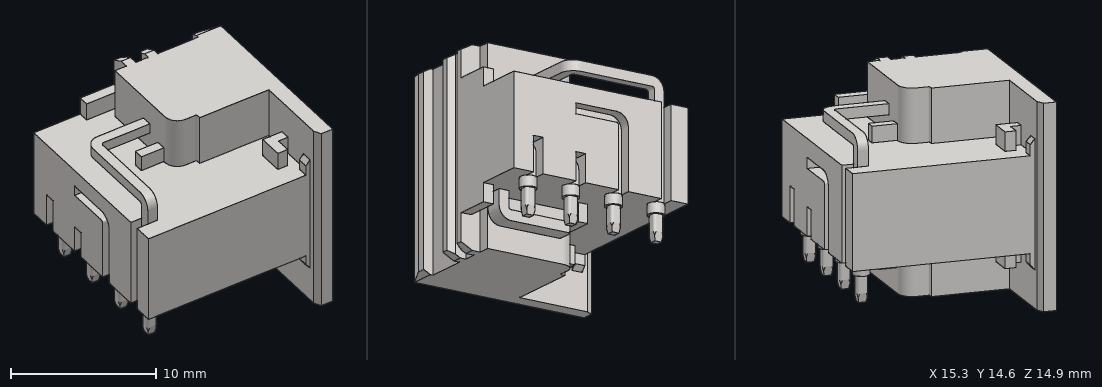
import cadquery as cq
import math


OVERALL_X = 15.3
OVERALL_Y = 14.55
SHELL_HALF_Z = 14.95 / 2

BLOCK_RIGHT = 14.32
BLOCK_HALF_Z = 3.5

SHELL_LEFT = 1.56
SHELL_FRONT = 5.68
SHELL_RIGHT = 9.18
NOSE_RIGHT = 8.8
NOSE_BACK = 7.62
NOSE_RADIUS = 1.04
NOSE_RELIEF_RADIUS = 0.1
PLATE_FRONT = 13.31
PLATE_BEVEL_X = 0.54
PLATE_BEVEL_Y = 0.29

RIB_WIDTH = 0.8
FRONT_RIB_Y = 6.61
REAR_RIB_Y = 8.42
FRONT_RIB_TIP = 0.0
REAR_RIB_TIP = 0.2
RIB_BEVEL_X = 0.5
RIB_BEVEL_Y = 0.29
RIB_END_BEVEL = (0.9, 0.47)
HOOK_FRONT = 12.53
HOOK_TIP = 0.8
HOOK_SLANT_FRONT = 13.2
HOOK_ROOT = 1.35
HOOK_END_BEVEL = (HOOK_ROOT - HOOK_TIP, 0.28)

TAB_THICKNESS = 0.75
TAB_HALF_Z = 4.9
TAB_FRONT = 3.82
FLANGE_THICKNESS = 0.83
UPPER_TAB_X = 6.9
SHORT_TAB_HALF_Z = 4.7
LOWER_TAB_X = 7.82
KEY_X = 10.83
KEY_FOOT_RIGHT = 12.71
KEY_FOOT_FRONT = 11.72
KEY_FOOT_BACK = 12.53
BEVELLED_TAB_WIDTH = 0.83
BEVELLED_TAB_DEPTH = 0.34
BEVELLED_TAB_RISE = 0.4

PITCH = 3.5
FIRST_CONTACT_X = 2.0
CONTACT_X = [FIRST_CONTACT_X + PITCH * index for index in range(4)]
WIRE = 0.8
WIRE_FRONT = 0.87
WIRE_BACK = WIRE_FRONT + WIRE
WIRE_Y = WIRE_FRONT + WIRE / 2
OUTER_BEND = 1.0
INNER_BEND = OUTER_BEND - WIRE
SHORT_CONTACT_TOPS = (-0.85, -1.39)
LONG_CONTACT_TOPS = (PITCH / 2 + WIRE / 2, 1.5 * PITCH + WIRE / 2)
LONG_CONTACT_LEFT = CONTACT_X[1] - WIRE / 2
LOWER_BAR_BOTTOM = -1.5 * PITCH - WIRE / 2
LOWER_BAR_FRONT = 4.3
LOWER_BAR_RIGHT = 7.51

COLLAR_DIAMETER = 1.22
COLLAR_HEIGHT = 0.8
SHAFT_HEIGHT = 1.29
SHAFT_CORNER = 0.2
TIP_HEIGHT = 0.67
TIP_WIDTH = 0.54


def box(x_span, y_span, z_span):
    """Box given by its two limits along each axis."""
    size = [span[1] - span[0] for span in (x_span, y_span, z_span)]
    return cq.Workplane().box(*size, centered=False).translate((x_span[0], y_span[0], z_span[0]))


def elbow(plane, corner, first_end, second_end, thickness=WIRE):
    """L-shaped bar with a rounded bend; corner is the outer corner in plane coordinates.

    One leg runs along the plane's first axis to first_end, the other along its second to second_end.
    """
    u_sign = math.copysign(1, first_end - corner[0])
    v_sign = math.copysign(1, second_end - corner[1])

    def inset(u, v):
        return (corner[0] + u_sign * u, corner[1] + v_sign * v)

    diagonal = math.sqrt(0.5)
    outer_middle = OUTER_BEND * (1 - diagonal)
    inner_middle = OUTER_BEND - INNER_BEND * diagonal
    return (
        cq.Workplane(plane)
        .moveTo(first_end, corner[1])
        .lineTo(*inset(OUTER_BEND, 0))
        .threePointArc(inset(outer_middle, outer_middle), inset(0, OUTER_BEND))
        .lineTo(corner[0], second_end)
        .lineTo(corner[0] + u_sign * WIRE, second_end)
        .lineTo(*inset(WIRE, OUTER_BEND))
        .threePointArc(inset(inner_middle, inner_middle), inset(OUTER_BEND, WIRE))
        .lineTo(first_end, corner[1] + v_sign * WIRE)
        .close()
        .extrude(thickness)
    )


def plane_at(name, **origin):
    """Named plane moved to the given origin coordinates."""
    return cq.Plane.named(name, (origin.get("x", 0), origin.get("y", 0), origin.get("z", 0)))


def plan_prism(points):
    """Full-height prism on a plan outline made of straight lines."""
    outline = cq.Workplane("XY").workplane(offset=-SHELL_HALF_Z).polyline(points).close()
    return outline.extrude(2 * SHELL_HALF_Z)


def make_shell():
    """Tall shell with its rounded nose and the back plate."""
    shell = plan_prism([
        (SHELL_LEFT, SHELL_FRONT),
        (NOSE_RIGHT, SHELL_FRONT),
        (NOSE_RIGHT, NOSE_BACK),
        (SHELL_RIGHT, NOSE_BACK),
        (SHELL_RIGHT, PLATE_FRONT),
        (OVERALL_X - PLATE_BEVEL_X, PLATE_FRONT),
        (OVERALL_X, PLATE_FRONT + PLATE_BEVEL_Y),
        (OVERALL_X, OVERALL_Y),
        (SHELL_LEFT, OVERALL_Y),
    ])
    nose_corner = cq.NearestToPointSelector((NOSE_RIGHT, SHELL_FRONT, 0))
    relief_corner = cq.NearestToPointSelector((NOSE_RIGHT, NOSE_BACK, 0))
    shell = shell.edges("|Z").edges(nose_corner).fillet(NOSE_RADIUS)
    return shell.edges("|Z").edges(relief_corner).fillet(NOSE_RELIEF_RADIUS)


def bevel_ends(solid, tip_x, bevel):
    """Cut a sloping bevel on the top and bottom ends of a rib whose tip is at tip_x."""
    depth, drop = bevel
    for end in (-1, 1):
        end_z = end * SHELL_HALF_Z
        wedge = (
            cq.Workplane(plane_at("XZ", y=OVERALL_Y))
            .polyline([(tip_x, end_z), (tip_x + depth, end_z), (tip_x, end_z - end * drop)])
            .close()
            .extrude(OVERALL_Y)
        )
        solid = solid.cut(wedge)
    return solid


def make_rib(tip_x, near_y, bevel_at_front):
    """Vertical rib on the left of the shell, its tip bevelled on one side."""
    far_y = near_y + RIB_WIDTH
    bevel_y, square_y = (near_y, far_y) if bevel_at_front else (far_y, near_y)
    inward = math.copysign(RIB_BEVEL_Y, square_y - bevel_y)
    rib = plan_prism([
        (SHELL_LEFT, square_y),
        (tip_x, square_y),
        (tip_x, bevel_y + inward),
        (tip_x + RIB_BEVEL_X, bevel_y),
        (SHELL_LEFT, bevel_y),
    ])
    return bevel_ends(rib, tip_x, RIB_END_BEVEL)


def make_hook():
    """Slanted hook at the left end of the back plate."""
    hook = plan_prism([
        (SHELL_LEFT, HOOK_FRONT),
        (HOOK_TIP, HOOK_FRONT),
        (HOOK_TIP, HOOK_SLANT_FRONT),
        (HOOK_ROOT, OVERALL_Y),
        (SHELL_LEFT, OVERALL_Y),
    ])
    return bevel_ends(hook, HOOK_TIP, HOOK_END_BEVEL)


def make_block():
    """Housing block; behind the front rib it stays within the shell's left face."""
    z_span = (-BLOCK_HALF_Z, BLOCK_HALF_Z)
    front = box((0, BLOCK_RIGHT), (0, FRONT_RIB_Y), z_span)
    rear = box((SHELL_LEFT, BLOCK_RIGHT), (FRONT_RIB_Y, PLATE_FRONT), z_span)
    return front.union(rear)


def make_bevelled_tab():
    """Tab on the plate at the right edge of the block, sloping back to the plate at both ends."""
    tab_front = PLATE_FRONT - BEVELLED_TAB_DEPTH
    shoulder = SHORT_TAB_HALF_Z - BEVELLED_TAB_RISE
    return (
        cq.Workplane(plane_at("YZ", x=BLOCK_RIGHT - BEVELLED_TAB_WIDTH))
        .polyline([
            (PLATE_FRONT, -SHORT_TAB_HALF_Z),
            (tab_front, -shoulder),
            (tab_front, shoulder),
            (PLATE_FRONT, SHORT_TAB_HALF_Z),
        ])
        .close()
        .extrude(BEVELLED_TAB_WIDTH)
    )


def make_tabs():
    """Side flange, front tabs, L-shaped key and bevelled tab."""
    tab_z = (-TAB_HALF_Z, TAB_HALF_Z)
    tab_y = (TAB_FRONT, SHELL_FRONT + NOSE_RADIUS)
    flange = box((0, FLANGE_THICKNESS), (TAB_FRONT, FRONT_RIB_Y), tab_z)
    upper_tab = box((UPPER_TAB_X, UPPER_TAB_X + TAB_THICKNESS), tab_y, (0, SHORT_TAB_HALF_Z))
    lower_tab = box((LOWER_TAB_X, LOWER_TAB_X + TAB_THICKNESS), tab_y, (-TAB_HALF_Z, 0))
    key_stem = box((KEY_X, KEY_X + TAB_THICKNESS), (KEY_FOOT_FRONT, PLATE_FRONT), tab_z)
    key_foot = box((KEY_X, KEY_FOOT_RIGHT), (KEY_FOOT_FRONT, KEY_FOOT_BACK), tab_z)
    return [flange, upper_tab, lower_tab, key_stem, key_foot, make_bevelled_tab()]


def make_short_contact(x, top):
    """Contact that comes forward out of the block and bends down."""
    return elbow(plane_at("YZ", x=x - WIRE / 2), (WIRE_FRONT, top), SHELL_FRONT, -BLOCK_HALF_Z)


def make_long_contact(x, top):
    """Contact that comes forward, bends to the right and then bends down."""
    right = x + WIRE / 2
    flat_plane = plane_at("XY", z=top - WIRE)
    across = elbow(flat_plane, (LONG_CONTACT_LEFT, WIRE_FRONT), right - OUTER_BEND, SHELL_FRONT)
    face_plane = plane_at("XZ", y=WIRE_BACK)
    down = elbow(face_plane, (right, top), LONG_CONTACT_LEFT + OUTER_BEND, -BLOCK_HALF_Z)
    return across.union(down)


def make_short_slot(x, top):
    """Straight slot in the block face in front of a short contact."""
    return box((x - WIRE / 2, x + WIRE / 2), (0, WIRE_BACK), (-BLOCK_HALF_Z, top))


def make_long_slot(x, top):
    """L-shaped slot in the block face in front of a long contact."""
    plane = plane_at("XZ", y=WIRE_BACK)
    return elbow(plane, (x + WIRE / 2, top), LONG_CONTACT_LEFT, -BLOCK_HALF_Z, WIRE_BACK)


def make_lower_bar():
    """Bar in front of the shell below the block, its left end bent up into the block."""
    outer_corner = (CONTACT_X[0] - WIRE / 2, LOWER_BAR_BOTTOM)
    depth = SHELL_FRONT - LOWER_BAR_FRONT
    bar = elbow(plane_at("XZ", y=SHELL_FRONT), outer_corner, LOWER_BAR_RIGHT, -BLOCK_HALF_Z, depth)
    mid_height = LOWER_BAR_BOTTOM + WIRE / 2
    end_corner = cq.NearestToPointSelector((LOWER_BAR_RIGHT, LOWER_BAR_FRONT, mid_height))
    return bar.edges("|Z").edges(end_corner).fillet(INNER_BEND)


def make_pin(x):
    """Collar and round-cornered square pin with a tapered tip, under the block."""
    collar_bottom = -BLOCK_HALF_Z - COLLAR_HEIGHT
    top = cq.Workplane("XY", origin=(x, WIRE_Y, -BLOCK_HALF_Z))
    collar = top.circle(COLLAR_DIAMETER / 2).extrude(-COLLAR_HEIGHT)
    neck = cq.Workplane("XY", origin=(x, WIRE_Y, collar_bottom))
    rounded = neck.rect(WIRE, WIRE).extrude(-SHAFT_HEIGHT - TIP_HEIGHT).edges("|Z").fillet(SHAFT_CORNER)
    shaft = neck.rect(WIRE, WIRE).extrude(-SHAFT_HEIGHT)
    tip = (
        neck.workplane(offset=-SHAFT_HEIGHT)
        .rect(WIRE, WIRE)
        .workplane(offset=-TIP_HEIGHT)
        .rect(TIP_WIDTH, TIP_WIDTH)
        .loft()
    )
    return collar.union(rounded.intersect(shaft.union(tip)))


short_contacts = list(zip(CONTACT_X[:2], SHORT_CONTACT_TOPS))
long_contacts = list(zip(CONTACT_X[2:], LONG_CONTACT_TOPS))

result = make_block()
for x, top in short_contacts:
    result = result.cut(make_short_slot(x, top))
for x, top in long_contacts:
    result = result.cut(make_long_slot(x, top))

additions = [
    make_shell(),
    make_rib(FRONT_RIB_TIP, FRONT_RIB_Y, bevel_at_front=False),
    make_rib(REAR_RIB_TIP, REAR_RIB_Y, bevel_at_front=True),
    make_hook(),
    make_lower_bar(),
]
additions += make_tabs()

additions += [make_short_contact(x, top) for x, top in short_contacts]
additions += [make_long_contact(x, top) for x, top in long_contacts]
additions += [make_pin(x) for x in CONTACT_X]
for addition in additions:
    result = result.union(addition)